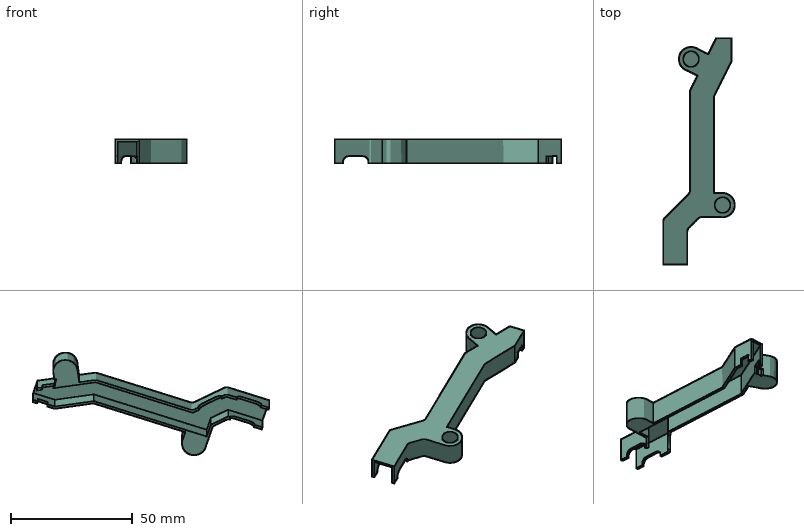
import cadquery as cq
import math

length = 93.2
height = 10.0
bar_width = 10.0
wall = 1.0
roof = 0.9
bend_radius = 2.0
end_x = 28.1

foot_x = bar_width / 2
spine_x = 15.9
lower_bend_y = 16.6
spine_start_y = lower_bend_y + spine_x - foot_x
upper_bend_y = 70.3
upper_tilt = math.atan(0.5)
overrun = 18.6

lug_radius = 5.0
lug_hole_diameter = 6.4
lug_hole_depth = 8.0
lower_lug = (24.4, 24.5)
upper_lug = (11.5, 84.5)
lower_lug_reach = 11.2
upper_lug_reach = 9.3

opening_height = 3.0
arch_width = 10.4
arch_radius = 2.4
foot_arch_y = 8.7
notch_start_y = 86.9
notch_end_y = 91.2


def bar(half_width, bar_height, side_x, rounding=0):
    """Bent bar of constant width, trimmed to the part length and to side_x."""
    lower_miter = half_width * math.tan(math.pi / 8)
    upper_miter = half_width * math.tan(upper_tilt / 2)
    end_y = length + overrun
    end_center_x = spine_x + (end_y - upper_bend_y) * math.tan(upper_tilt)
    end_half_width = half_width / math.cos(upper_tilt)

    def side(sign):
        """Edge points from foot to far end; sign is +1 on the left, -1 on the right."""
        return [
            (foot_x - sign * half_width, -overrun),
            (foot_x - sign * half_width, lower_bend_y + sign * lower_miter),
            (spine_x - sign * half_width, spine_start_y + sign * lower_miter),
            (spine_x - sign * half_width, upper_bend_y + sign * upper_miter),
            (end_center_x - sign * end_half_width, end_y),
        ]

    outline = side(1) + side(-1)[::-1]
    body = cq.Workplane("XY").polyline(outline).close().extrude(bar_height)
    bends = cq.selectors.BoxSelector((-length, 0, -height), (length, length, height))
    if rounding:
        body = body.edges("|Z").edges(bends).fillet(rounding)
    trim = cq.Workplane("XY").box(side_x, length, bar_height, centered=False)
    return body.intersect(trim)


def lug(center, reach, angle):
    """Round-ended arm from the lug centre towards the bar."""
    arm = cq.Workplane("XY").rect(reach, bar_width).extrude(height).translate((reach / 2, 0, 0))
    boss = cq.Workplane("XY").circle(lug_radius).extrude(height)
    return arm.union(boss).rotate((0, 0, 0), (0, 0, 1), angle).translate((*center, 0))


def arch_cutter(depth):
    """Arched opening along Y, cutting from the YZ plane towards +X."""
    block = cq.Workplane("XY").box(depth, arch_width, opening_height, centered=(False, True, False))
    return block.edges("|X and >Z").fillet(arch_radius)


body = bar(bar_width / 2, height, end_x, bend_radius)
body = body.union(lug(lower_lug, lower_lug_reach, 180))
body = body.union(lug(upper_lug, upper_lug_reach, -math.degrees(upper_tilt)))

lug_base_y = lower_lug[1] - bar_width / 2
lower_arm_right_x = lug_base_y - lower_bend_y + foot_x + bar_width / 2 * math.sqrt(2)
body = body.edges(cq.selectors.NearestToPointSelector((lower_arm_right_x, lug_base_y, height / 2)))
body = body.fillet(bend_radius)

channel_half_width = bar_width / 2 - wall
channel_height = height - roof
body = body.cut(bar(channel_half_width, channel_height, end_x - wall))

pocket_start_y = lug_base_y + wall
pocket = cq.Workplane("XY").box(
    2 * channel_half_width, spine_start_y - pocket_start_y, channel_height, centered=False
)
body = body.cut(pocket.translate((spine_x - channel_half_width, pocket_start_y, 0)))

body = body.cut(arch_cutter(bar_width).translate((0, foot_arch_y, 0)))

left_wall_shift = bar_width / 2 * math.tan(math.pi / 8)
arm_wall_middle = (
    (spine_x - foot_x) / 2,
    (lower_bend_y + spine_start_y) / 2 + left_wall_shift,
    0,
)
arm_arch = arch_cutter(2 * wall).translate((-wall / 2, 0, 0))
body = body.cut(arm_arch.rotate((0, 0, 0), (0, 0, 1), -45).translate(arm_wall_middle))

notch_length = notch_end_y - notch_start_y
notch = cq.Workplane("XY").box(end_x - spine_x, notch_length, opening_height, centered=False)
body = body.cut(notch.translate((spine_x, notch_start_y, 0)))

recesses = (
    cq.Workplane("XY", origin=(0, 0, height - lug_hole_depth))
    .pushPoints([lower_lug, upper_lug])
    .circle(lug_hole_diameter / 2)
    .extrude(lug_hole_depth)
)
result = body.cut(recesses)